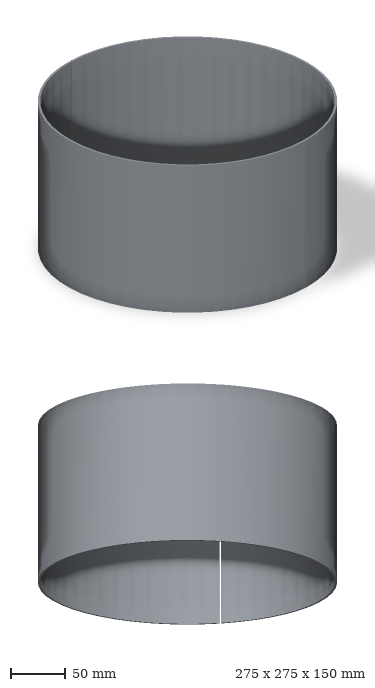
import cadquery as cq

outer_diameter = 275.0
wall = 2.2
height = 150.0
slit_width = 2.0
slit_center_y = slit_width / 2

inner_diameter = outer_diameter - 2 * wall
outer_radius = outer_diameter / 2

sleeve = (
    cq.Workplane("XY")
    .circle(outer_radius)
    .circle(inner_diameter / 2)
    .extrude(height)
)

slit = (
    cq.Workplane("XY")
    .center(-outer_radius / 2, slit_center_y)
    .rect(outer_radius, slit_width)
    .extrude(height)
)

result = sleeve.cut(slit)